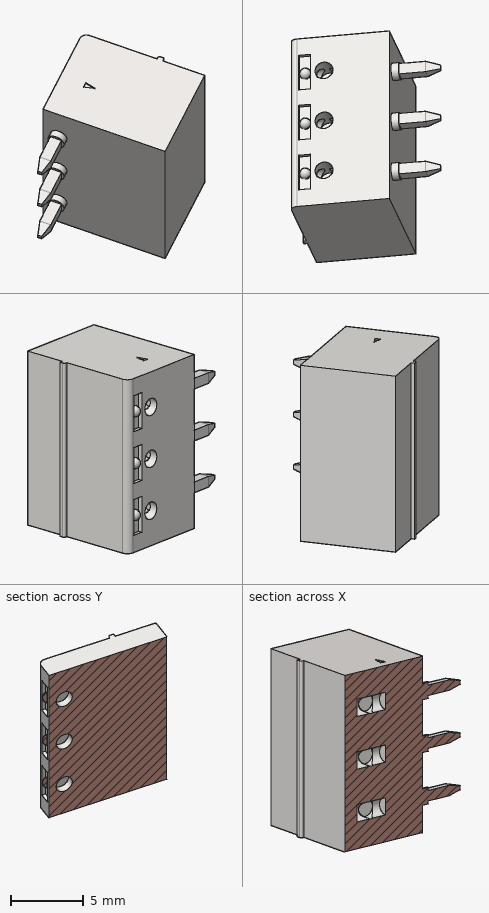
import cadquery as cq

height = 12.82
housing_width = 9.18
housing_depth = 7.01
edge_radius = 0.51

contact_pitch = 3.82
contact_heights = [height / 2 + row * contact_pitch for row in (-1, 0, 1)]

rib_start = 5.59
rib_width = 0.44
rib_height = 0.25
rib_edge_radius = 0.18

pin_x = 1.19
collar_diameter = 1.22
collar_length = 0.51
pin_width = 0.83
pin_height = 0.8
pin_tip_side = 0.3
pin_reach = 3.38
pin_tip_length = 0.99

window_y = housing_depth - 1.03
window_width = 0.83
window_height = 2.64
window_depth = 0.3
lens_radius = 0.4
lens_protrusion = 0.12

hole_y = housing_depth - 2.4
hole_diameter = 1.25
hole_depth = pin_x + hole_diameter / 2

chamber_diameter = collar_diameter
chamber_length = 2 * hole_diameter

marker_x = 1.85
marker_y = 3.03
marker_length = 0.8
marker_width = 0.41
marker_depth = 0.1


def block(x_size, y_size, z_size, x, y, z):
    return cq.Workplane("XY").box(x_size, y_size, z_size, centered=False).translate((x, y, z))


def make_housing():
    body = block(housing_width, housing_depth, height, 0, 0, 0)
    return body.edges("|Z and <X and >Y").fillet(edge_radius)


def make_rib():
    rib = block(rib_width, 2 * rib_height, height, rib_start, housing_depth - rib_height, 0)
    return rib.edges("|Z and <X and >Y").fillet(rib_edge_radius)


def make_pin(z):
    shaft_length = pin_reach - pin_tip_length
    face = cq.Workplane("XZ").center(pin_x, z)
    collar = face.circle(collar_diameter / 2).extrude(collar_length)
    shaft = face.rect(pin_width, pin_height).extrude(shaft_length)
    tip = (
        face.workplane(offset=shaft_length)
        .rect(pin_width, pin_height)
        .workplane(offset=pin_tip_length)
        .rect(pin_tip_side, pin_tip_side)
        .loft(ruled=True)
    )
    return collar.union(shaft).union(tip)


def make_window(z):
    return block(
        window_depth, window_width, window_height,
        0, window_y - window_width / 2, z - window_height / 2,
    )


def make_lens(z):
    return cq.Workplane("XY").sphere(lens_radius).translate((lens_radius - lens_protrusion, window_y, z))


def make_hole(z):
    return cq.Workplane("YZ").center(hole_y, z).circle(hole_diameter / 2).extrude(hole_depth)


def make_chamber(z):
    chamber = cq.Workplane("XZ").center(pin_x, z).circle(chamber_diameter / 2)
    return chamber.extrude(chamber_length / 2, both=True).translate((0, hole_y, 0))


def make_marker():
    return (
        cq.Workplane("XY", origin=(marker_x, marker_y, height))
        .polyline([(0, -marker_width / 2), (marker_length, 0), (0, marker_width / 2)])
        .close()
        .extrude(-marker_depth)
    )


result = make_housing().union(make_rib()).cut(make_marker())
for contact_z in contact_heights:
    result = result.cut(make_window(contact_z)).union(make_lens(contact_z))
    result = result.cut(make_hole(contact_z)).cut(make_chamber(contact_z))
    result = result.union(make_pin(contact_z))